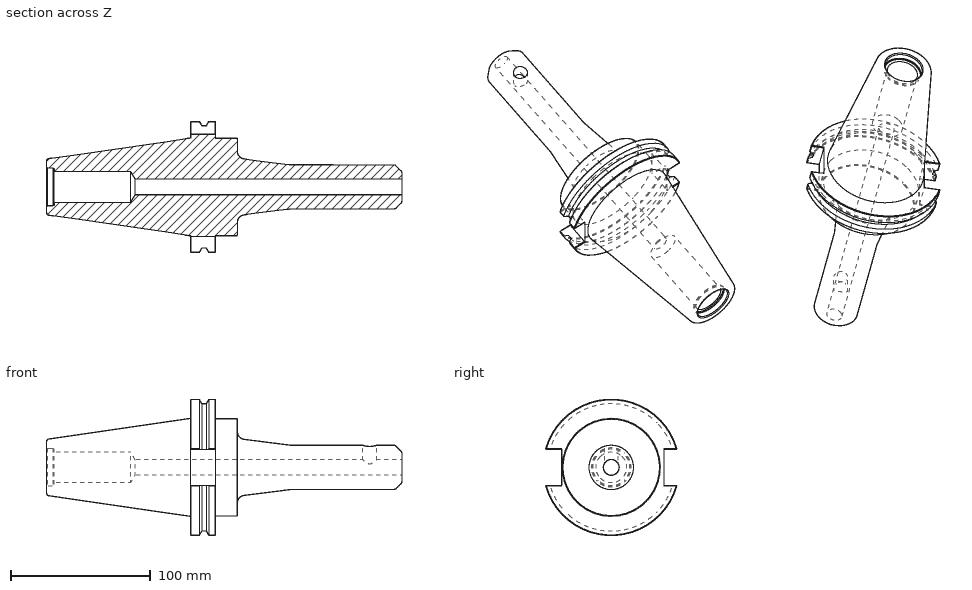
import cadquery as cq
import math

INCH = 25.4
overall_length = 254.02

gauge_diameter = 69.85
gauge_length = 4 * INCH
taper_ratio = 7 / 24
taper_end_fillet = 2.0

flange_diameter = 97.5
flange_front = 102.9
flange_back = 120.9
edge_chamfer = 0.5

groove_centre = 112.6
groove_floor_diameter = 91.3
groove_floor_width = 3.2
groove_flank_angle = 30

slot_width = 25.7
slot_floor_front = 35.5
slot_floor_rear = 37.7

collar_length_past_gauge = 1.375 * INCH
collar_back = gauge_length + collar_length_past_gauge
neck_root_radius = 20.7
neck_fillet = 5.2
shank_diameter = 31.72
shank_start = 174.9
tip_chamfer = 4.9
tip_fillet = 2.0

through_bore_diameter = 11.11
thread_bore_diameter = 21.97
thread_bore_depth = 60.0
drill_point_angle = 118
mouth_diameter = 28.2
counterbore_diameter = 26.7
counterbore_depth = 4.5
pilot_diameter = 26.2
pilot_depth = 5.5

cross_hole_diameter = 10.0
cross_hole_x = 230.9


def revolve_about_x(profile):
    """Revolve an outline drawn in the XZ plane (Z is the radius) about the X axis."""
    return profile.close().revolve(360, (0, 0, 0), (1, 0, 0))


def circle_at(x, radius):
    """Selector for the circular edge of the given radius centred on the X axis at x."""
    margin = 0.01
    reach = radius + margin
    return cq.selectors.BoxSelector((x - margin, -reach, -reach), (x + margin, reach, reach), True)


def taper():
    def taper_radius(x):
        return gauge_diameter / 2 + (x - gauge_length) * taper_ratio / 2

    cone = revolve_about_x(
        cq.Workplane("XZ")
        .lineTo(0, taper_radius(0))
        .lineTo(flange_front, taper_radius(flange_front))
        .lineTo(flange_front, 0)
    )
    return cone.faces("<X").edges().fillet(taper_end_fillet)


def drive_slot(floor_distance, side):
    """Cutter for a slot across the flange; side is +1 or -1 along Y."""
    reach = flange_diameter / 2
    slot = cq.Workplane("XY").box(flange_back - flange_front, reach, slot_width)
    return slot.translate(((flange_front + flange_back) / 2, side * (floor_distance + reach / 2), 0))


def gripper_groove():
    rim_radius = flange_diameter / 2
    floor_radius = groove_floor_diameter / 2
    floor_half = groove_floor_width / 2
    rim_half = floor_half + (rim_radius - floor_radius) * math.tan(math.radians(groove_flank_angle))
    return revolve_about_x(
        cq.Workplane("XZ")
        .moveTo(groove_centre - rim_half, rim_radius)
        .lineTo(groove_centre - floor_half, floor_radius)
        .lineTo(groove_centre + floor_half, floor_radius)
        .lineTo(groove_centre + rim_half, rim_radius)
    )


def flange():
    disc = (
        cq.Workplane("YZ", origin=(flange_front, 0, 0))
        .circle(flange_diameter / 2)
        .extrude(flange_back - flange_front)
        .cut(drive_slot(slot_floor_front, -1))
        .cut(drive_slot(slot_floor_rear, 1))
    )
    slot_floor_edges = disc.faces("|Y").edges().vals()
    broken_edges = [
        edge for edge in disc.edges().vals()
        if not any(edge.isSame(floor_edge) for floor_edge in slot_floor_edges)
    ]
    disc = disc.newObject(broken_edges).chamfer(edge_chamfer)
    return disc.cut(gripper_groove())


def collar_neck_and_shank():
    collar_radius = gauge_diameter / 2
    shank_radius = shank_diameter / 2
    body = revolve_about_x(
        cq.Workplane("XZ")
        .moveTo(flange_front, 0)
        .lineTo(flange_front, collar_radius)
        .lineTo(collar_back - edge_chamfer, collar_radius)
        .lineTo(collar_back, collar_radius - edge_chamfer)
        .lineTo(collar_back, neck_root_radius)
        .lineTo(shank_start, shank_radius)
        .lineTo(overall_length - tip_chamfer, shank_radius)
        .lineTo(overall_length, shank_radius - tip_chamfer)
        .lineTo(overall_length, 0)
    )
    body = body.edges(circle_at(collar_back, neck_root_radius)).fillet(neck_fillet)
    body = body.edges(circle_at(overall_length - tip_chamfer, shank_radius)).fillet(tip_fillet)
    return body.edges(circle_at(overall_length, shank_radius - tip_chamfer)).fillet(tip_fillet)


def axial_bore():
    through_radius = through_bore_diameter / 2
    thread_radius = thread_bore_diameter / 2
    counterbore_radius = counterbore_diameter / 2
    pilot_radius = pilot_diameter / 2
    mouth_radius = mouth_diameter / 2
    point_length = (thread_radius - through_radius) / math.tan(math.radians(drill_point_angle / 2))
    return revolve_about_x(
        cq.Workplane("XZ")
        .lineTo(0, mouth_radius)
        .lineTo(mouth_radius - counterbore_radius, counterbore_radius)
        .lineTo(counterbore_depth, counterbore_radius)
        .lineTo(counterbore_depth, pilot_radius)
        .lineTo(pilot_depth, pilot_radius)
        .lineTo(pilot_depth, thread_radius)
        .lineTo(thread_bore_depth, thread_radius)
        .lineTo(thread_bore_depth + point_length, through_radius)
        .lineTo(overall_length, through_radius)
        .lineTo(overall_length, 0)
    )


def cross_hole():
    hole = cq.Workplane("XY", origin=(cross_hole_x, 0, 0)).circle(cross_hole_diameter / 2)
    return hole.extrude(shank_diameter)


result = taper().union(flange()).union(collar_neck_and_shank())
result = result.cut(axial_bore()).cut(cross_hole())